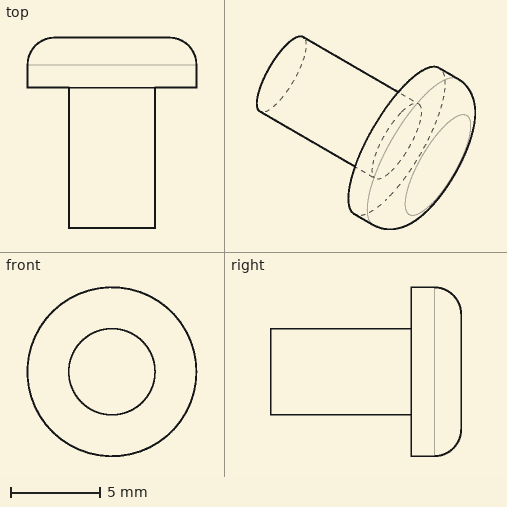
import cadquery as cq

total_length = 10.67
head_diameter = 9.47
head_thickness = 2.81
head_edge_radius = 1.53
shank_diameter = 4.83

shank_length = total_length - head_thickness


def cylinder_along_y(diameter, start_y, length):
    """Solid cylinder on the Y axis, extending from start_y toward +Y."""
    base = cq.Workplane("XZ", origin=(0, start_y, 0))
    return base.circle(diameter / 2).extrude(-length)


head = cylinder_along_y(head_diameter, 0, head_thickness)
head = head.faces(">Y").edges().fillet(head_edge_radius)

shank = cylinder_along_y(shank_diameter, -shank_length, shank_length)

result = head.union(shank)